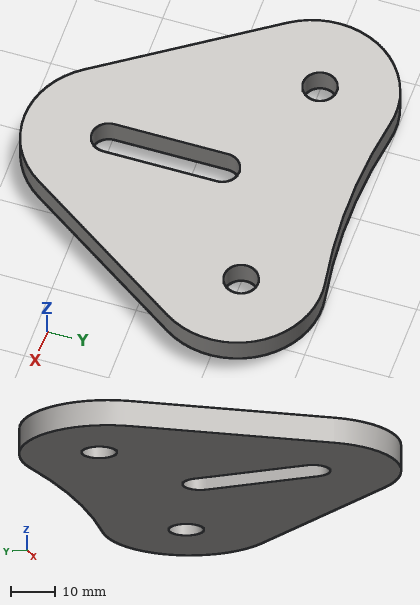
import cadquery as cq
import math

plate_width = 93.54
plate_depth = 79.39
plate_thickness = 6.0

lobe_radius = 20.0
back_edge_radius = 140.0

hole_diameter = 8.0
hole_spacing = 57.0
hole_y = 40.8
slot_width = 8.0
slot_travel = 27.0

back_lobe_x = plate_width / 2 - lobe_radius
back_lobe_y = plate_depth - 2 * lobe_radius


def on_circle(center, radius, angle):
    """Point on a circle at an angle measured in radians from +X."""
    return (center[0] + radius * math.cos(angle), center[1] + radius * math.sin(angle))


def mirrored(point):
    """Reflection of a point about the YZ plane."""
    return (-point[0], point[1])


def make_plate():
    """Plate whose flanks and back edge run tangent into the lobes."""
    front_lobe = (0.0, 0.0)
    right_lobe = (back_lobe_x, back_lobe_y)

    flank_normal = math.atan2(back_lobe_y, back_lobe_x) - math.pi / 2
    flank_front = on_circle(front_lobe, lobe_radius, flank_normal)
    flank_back = on_circle(right_lobe, lobe_radius, flank_normal)
    front_tip = (0.0, -lobe_radius)

    center_distance = lobe_radius + back_edge_radius
    tangent_angle = math.acos(-back_lobe_x / center_distance)
    lobe_end = on_circle(right_lobe, lobe_radius, tangent_angle)
    lobe_middle = on_circle(right_lobe, lobe_radius, (flank_normal + tangent_angle) / 2)
    back_edge_center_y = back_lobe_y + center_distance * math.sin(tangent_angle)
    back_edge_middle = (0.0, back_edge_center_y - back_edge_radius)

    outline = (
        cq.Workplane("XY")
        .moveTo(*flank_front)
        .lineTo(*flank_back)
        .threePointArc(lobe_middle, lobe_end)
        .threePointArc(back_edge_middle, mirrored(lobe_end))
        .threePointArc(mirrored(lobe_middle), mirrored(flank_back))
        .lineTo(*mirrored(flank_front))
        .threePointArc(front_tip, flank_front)
        .close()
    )
    return outline.extrude(plate_thickness)


def make_holes():
    """Cutters for the pair of round through holes."""
    return (
        cq.Workplane("XY")
        .pushPoints([(-hole_spacing / 2, hole_y), (hole_spacing / 2, hole_y)])
        .circle(hole_diameter / 2)
        .extrude(plate_thickness)
    )


def make_slot():
    """Cutter for the slot, which runs back from the front lobe centre."""
    return (
        cq.Workplane("XY")
        .center(0, slot_travel / 2)
        .slot2D(slot_travel + slot_width, slot_width, 90)
        .extrude(plate_thickness)
    )


result = make_plate().cut(make_holes()).cut(make_slot())